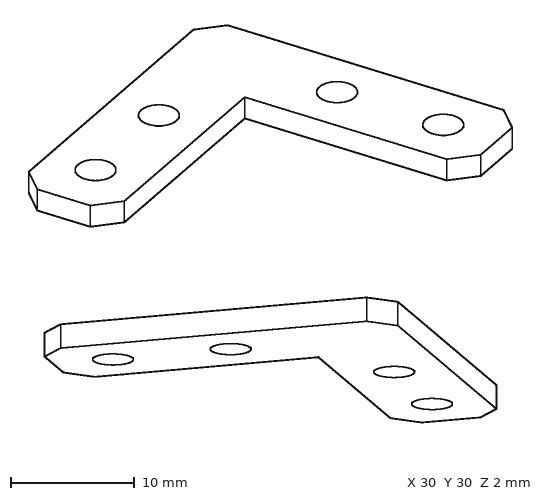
import cadquery as cq

side = 30.0
arm_width = 9.0
thickness = 2.0
corner_cut = 2.0

hole_diameter = 3.3
hole_distances = (15.0, 25.0)

left = -side / 2
right = side / 2
bottom = -side / 2
top = side / 2
inner_x = left + arm_width
inner_y = top - arm_width
arm_center_x = left + arm_width / 2
arm_center_y = top - arm_width / 2


def make_plate():
    """L-shaped plate with every outer corner cut at 45 degrees."""
    outline = [
        (left, bottom),
        (inner_x, bottom),
        (inner_x, inner_y),
        (right, inner_y),
        (right, top),
        (left, top),
    ]
    plate = cq.Workplane("XY").polyline(outline).close().extrude(thickness)

    inside_corner = cq.selectors.NearestToPointSelector((inner_x, inner_y, thickness / 2))
    outer_edges = plate.edges("|Z").edges(cq.selectors.InverseSelector(inside_corner))
    return outer_edges.chamfer(corner_cut)


def drill_holes(plate):
    """Through holes along both arms."""
    horizontal_arm = [(left + distance, arm_center_y) for distance in hole_distances]
    vertical_arm = [(arm_center_x, top - distance) for distance in hole_distances]
    hole_centers = horizontal_arm + vertical_arm
    return plate.faces(">Z").workplane(origin=(0, 0, 0)).pushPoints(hole_centers).hole(hole_diameter)


result = drill_holes(make_plate())